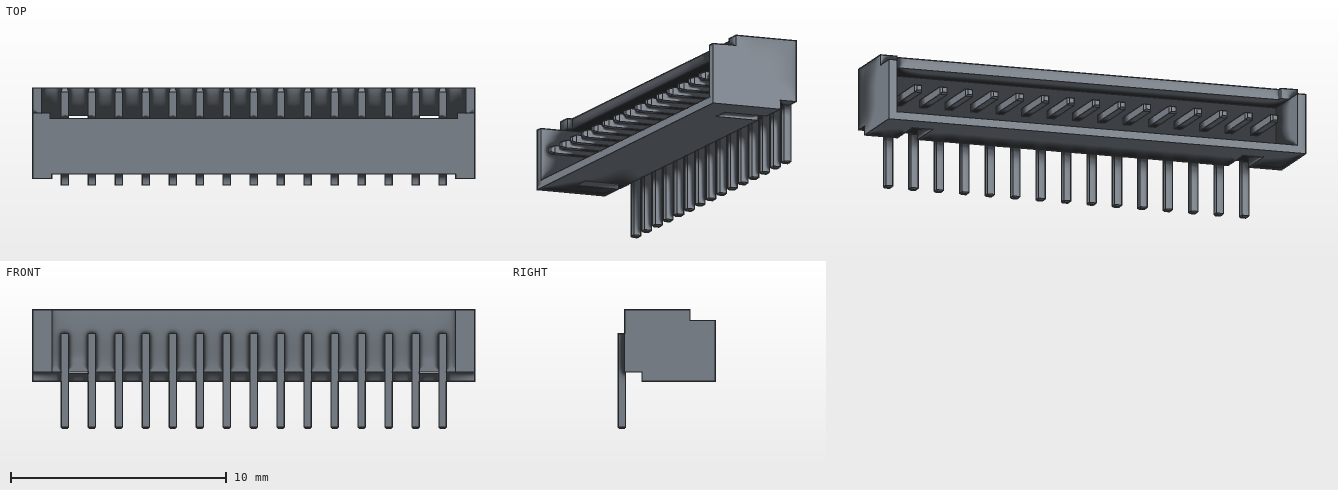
import cadquery as cq


length = 20.5
housing_depth = 4.2
housing_height = 3.32
end_wall = 0.4
floor_thickness = 0.37
cavity_depth = 3.0
roof_thickness = 0.5
roof_setback = 1.17
roof_recess = 0.25
roof_end_length = 0.82
foot_depth = 3.4
foot_height = 0.43
front_recess = 0.2
end_block_length = 0.9

slot_width = 1.0
slot_setback = 1.3

pin_count = 15
pin_pitch = 1.25
pin_size = 0.35
pin_drop = 1.1
overall_depth = 4.5
overall_height = 5.5
tip_length = 0.18
tip_inset = 0.06
tail_chamfer = 0.06

pin_top = housing_height - pin_drop
tail_bottom = housing_height - overall_height
front_wall_y = front_recess - housing_depth
contact_z = (floor_thickness + housing_height - roof_thickness) / 2


def block(x_range, y_range, z_range):
    """Box spanning the given (low, high) ranges."""
    (x0, x1), (y0, y1), (z0, z1) = x_range, y_range, z_range
    return cq.Workplane("XY").box(x1 - x0, y1 - y0, z1 - z0, centered=False).translate((x0, y0, z0))


def pin_x(index):
    """X position of a pin, counted from the -X end."""
    return (index - (pin_count - 1) / 2) * pin_pitch


def make_housing():
    half = length / 2
    profile = [
        (0, 0),
        (-foot_depth, 0),
        (-foot_depth, foot_height),
        (-housing_depth, foot_height),
        (-housing_depth, housing_height),
        (-roof_setback, housing_height),
        (-roof_setback, housing_height - roof_thickness),
        (0, housing_height - roof_thickness),
    ]
    housing = cq.Workplane("YZ").polyline(profile).close().extrude(half, both=True)

    inner_half = half - end_wall
    cavity = block(
        (-inner_half, inner_half),
        (-cavity_depth, 0),
        (floor_thickness, housing_height - roof_thickness),
    )
    roof_half = half - roof_end_length
    roof_notch = block(
        (-roof_half, roof_half),
        (-roof_setback - roof_recess, 0),
        (housing_height - roof_thickness, housing_height),
    )
    front_half = half - end_block_length
    front_notch = block(
        (-front_half, front_half),
        (-housing_depth, front_wall_y),
        (foot_height, housing_height),
    )
    housing = housing.cut(cavity).cut(roof_notch).cut(front_notch)

    slot_x = (pin_x(0) + pin_x(1)) / 2
    slot = block(
        (slot_x - slot_width / 2, slot_x + slot_width / 2),
        (-foot_depth, -slot_setback),
        (0, foot_height),
    )
    return housing.cut(slot).cut(slot.mirror("YZ"))


def make_pin():
    """Pin at X = 0: a tapered contact along Y, a shoulder at the front wall and a chamfered tail."""
    half = pin_size / 2
    contact = block((-half, half), (-overall_depth, -tip_length), (contact_z - half, contact_z + half))
    tip = (
        contact.faces(">Y").workplane(centerOption="CenterOfBoundBox").rect(pin_size, pin_size)
        .workplane(offset=tip_length).rect(pin_size - 2 * tip_inset, pin_size - 2 * tip_inset)
        .loft(combine=False)
    )
    tail = block((-half, half), (-overall_depth, pin_size - overall_depth), (tail_bottom, pin_top))
    tail = tail.faces("<Z").edges().chamfer(tail_chamfer)
    shoulder = block((-half, half), (-overall_depth, front_wall_y), (foot_height, pin_top))
    return contact.union(tip).union(shoulder).union(tail)


result = make_housing()
pin = make_pin()
for index in range(pin_count):
    result = result.union(pin.translate((pin_x(index), 0, 0)))